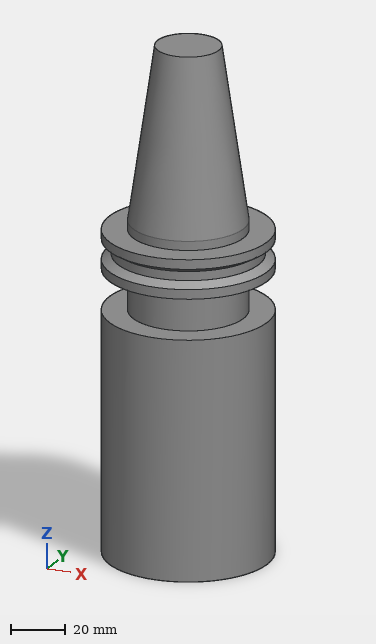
import cadquery as cq

total_height = 197.2
body_radius = 63.5 / 2

body_height = 94.3
neck_radius = 44.4 / 2

flange_bottom = 110.3
flange_top = 125.6
groove_radius = 56.5 / 2
groove_floor_bottom = 116.2
groove_floor_top = 119.7
groove_slope_height = 2.2

taper_bottom = 129.2
shank_tip_radius = 24.7 / 2

profile = [
    (0, 0),
    (body_radius, 0),
    (body_radius, body_height),
    (neck_radius, body_height),
    (neck_radius, flange_bottom),
    (body_radius, flange_bottom),
    (body_radius, groove_floor_bottom - groove_slope_height),
    (groove_radius, groove_floor_bottom),
    (groove_radius, groove_floor_top),
    (body_radius, groove_floor_top + groove_slope_height),
    (body_radius, flange_top),
    (neck_radius, flange_top),
    (neck_radius, taper_bottom),
    (shank_tip_radius, total_height),
    (0, total_height),
]

result = cq.Workplane("XZ").polyline(profile).close().revolve(360, (0, 0, 0), (0, 1, 0))